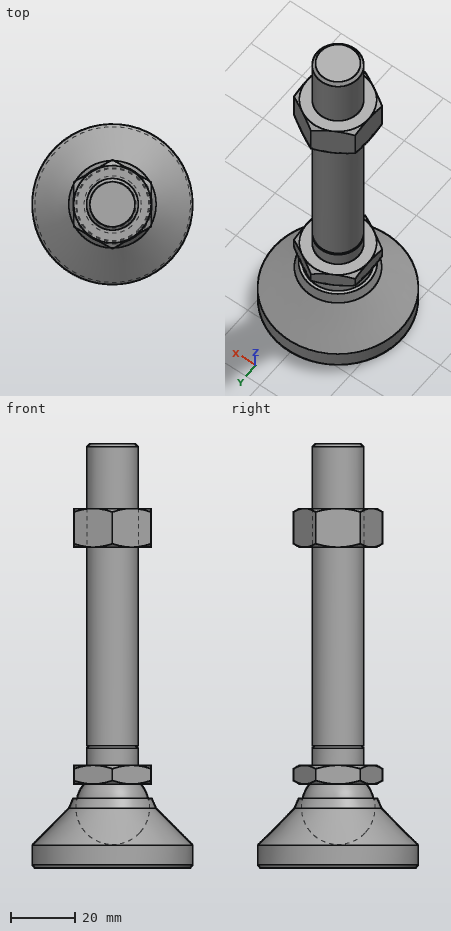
import cadquery as cq
import math

foot_diameter = 50.0
foot_radius = foot_diameter / 2
foot_chamfer_height = 1.0
foot_chamfer_width = 0.8
rim_top = 7.1
collar_bottom = 18.6
collar_top = 21.6
collar_bottom_radius = 13.6
collar_top_radius = 12.3

ball_radius = 11.5
ball_center = 18.9

stud_radius = 8.0
stud_top = 132.0
stud_chamfer_height = 1.0
stud_chamfer_width = 1.0
stud_hex_bottom = 26.1
stud_hex_height = 5.8
groove_bottom = 37.2
groove_height = 0.8
groove_depth = 0.8

across_flats = 24.0
hex_bevel_angle = 30.0
nut_bottom = 99.8
nut_height = 12.0


def make_ball():
    return cq.Workplane("XY").sphere(ball_radius).translate((0, 0, ball_center))


def make_hex(bottom, height):
    """Hexagonal prism with corners on +Y and -Y, its corners bevelled at both ends."""
    face_radius = across_flats / 2
    corner_radius = face_radius / math.cos(math.pi / 6)
    bevel_height = (corner_radius - face_radius) * math.tan(math.radians(hex_bevel_angle))
    prism = (
        cq.Workplane("XY")
        .polygon(6, 2 * corner_radius)
        .extrude(height)
        .rotate((0, 0, 0), (0, 0, 1), 30)
    )
    bevel_envelope = (
        cq.Workplane("XZ")
        .moveTo(0, 0)
        .lineTo(face_radius, 0)
        .lineTo(corner_radius, bevel_height)
        .lineTo(corner_radius, height - bevel_height)
        .lineTo(face_radius, height)
        .lineTo(0, height)
        .close()
        .revolve(360, (0, 0, 0), (0, 1, 0))
    )
    return prism.intersect(bevel_envelope).translate((0, 0, bottom))


def make_foot():
    """Conical foot with a collar and a spherical socket for the ball."""
    body = (
        cq.Workplane("XZ")
        .moveTo(0, 0)
        .lineTo(foot_radius - foot_chamfer_width, 0)
        .lineTo(foot_radius, foot_chamfer_height)
        .lineTo(foot_radius, rim_top)
        .lineTo(collar_bottom_radius, collar_bottom)
        .lineTo(collar_top_radius, collar_top)
        .lineTo(0, collar_top)
        .close()
        .revolve(360, (0, 0, 0), (0, 1, 0))
    )
    return body.cut(make_ball())


def make_stud():
    """Shank with a tapered groove narrowing upwards, hexagon and ball in one piece."""
    groove_top = groove_bottom + groove_height
    groove_radius = stud_radius - groove_depth
    shank = (
        cq.Workplane("XZ")
        .moveTo(0, ball_center)
        .lineTo(stud_radius, ball_center)
        .lineTo(stud_radius, groove_bottom)
        .lineTo(groove_radius, groove_top)
        .lineTo(stud_radius, groove_top)
        .lineTo(stud_radius, stud_top - stud_chamfer_height)
        .lineTo(stud_radius - stud_chamfer_width, stud_top)
        .lineTo(0, stud_top)
        .close()
        .revolve(360, (0, 0, 0), (0, 1, 0))
    )
    return make_ball().union(shank).union(make_hex(stud_hex_bottom, stud_hex_height))


def make_nut():
    """Hexagonal nut fitting closely around the shank."""
    bore = cq.Workplane("XY").workplane(offset=nut_bottom).circle(stud_radius).extrude(nut_height)
    return make_hex(nut_bottom, nut_height).cut(bore)


foot = make_foot()
stud = make_stud()
nut = make_nut()

result = cq.Compound.makeCompound([foot.val(), stud.val(), nut.val()])